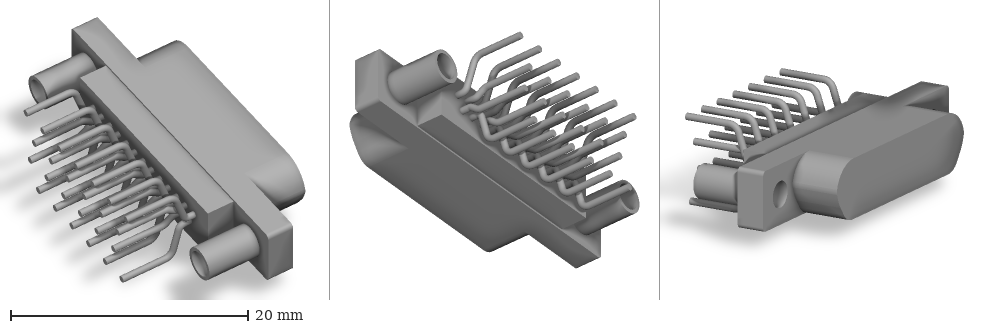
import cadquery as cq
import math


FLANGE_WIDTH = 30.0
FLANGE_HEIGHT = 5.35
FLANGE_DEPTH = 2.52
FLANGE_CORNER_RADIUS = 0.4

SHELL_DEPTH = 4.38
SHELL_TOP_HALF_WIDTH = 7.55
SHELL_BOTTOM_HALF_WIDTH = 7.77
SHELL_SIDE_X = 10.23
SHELL_SIDE_UPPER_Z = 0.57
SHELL_SIDE_LOWER_Z = 0.12
SHELL_SLANT_UPPER = (9.65, -1.17)
SHELL_SLANT_LOWER = (9.12, -1.95)

BLOCK_WIDTH = 19.45
BLOCK_HEIGHT = 4.98
BLOCK_DEPTH = 2.6

STANDOFF_SPACING = 24.5
STANDOFF_X = [-STANDOFF_SPACING / 2, STANDOFF_SPACING / 2]
STANDOFF_DIAMETER = 3.05
STANDOFF_BORE = 2.37
STANDOFF_LENGTH = 5.07
STANDOFF_GAP = 0.05

PIN_DIAMETER = 0.63
PIN_LENGTH = 6.9
PIN_COUNT = 25
TAIL_ROW_COUNT = 4
TAIL_TOTAL_HEIGHT = 8.25
TAIL_ROW_PITCH = (TAIL_TOTAL_HEIGHT - PIN_DIAMETER) / (TAIL_ROW_COUNT - 1)
PIN_PITCH = TAIL_ROW_PITCH / 4
ENTRY_Z = TAIL_ROW_PITCH / 4
INNER_TAIL_Z = TAIL_ROW_PITCH / 2
OUTER_TAIL_Z = 1.5 * TAIL_ROW_PITCH
ENTRY_BEND_RADIUS = 0.55
EXIT_BEND_RADIUS = 0.95

PIN_FORMS = [
    (1, OUTER_TAIL_Z, 0.55, 71.0),
    (-1, INNER_TAIL_Z, 0.78, 36.0),
    (1, INNER_TAIL_Z, 0.9, 33.0),
    (-1, OUTER_TAIL_Z, 0.6, 75.0),
]


def make_flange():
    return (
        cq.Workplane("XY")
        .box(FLANGE_WIDTH, FLANGE_DEPTH, FLANGE_HEIGHT, centered=(True, False, True))
        .edges("|Y")
        .fillet(FLANGE_CORNER_RADIUS)
    )


def make_shell():
    """D-shaped block: half outline of tangent arcs, mirrored about the YZ plane."""
    half_height = FLANGE_HEIGHT / 2
    return (
        cq.Workplane("XZ", origin=(0, FLANGE_DEPTH, 0))
        .moveTo(0, half_height)
        .lineTo(SHELL_TOP_HALF_WIDTH, half_height)
        .tangentArcPoint((SHELL_SIDE_X, SHELL_SIDE_UPPER_Z), relative=False)
        .tangentArcPoint((SHELL_SIDE_X, SHELL_SIDE_LOWER_Z), relative=False)
        .tangentArcPoint(SHELL_SLANT_UPPER, relative=False)
        .lineTo(*SHELL_SLANT_LOWER)
        .tangentArcPoint((SHELL_BOTTOM_HALF_WIDTH, -half_height), relative=False)
        .lineTo(0, -half_height)
        .mirrorY()
        .extrude(-SHELL_DEPTH)
    )


def make_block():
    return (
        cq.Workplane("XY", origin=(0, -BLOCK_DEPTH, 0))
        .box(BLOCK_WIDTH, BLOCK_DEPTH, BLOCK_HEIGHT, centered=(True, False, True))
    )


def bend_offset(radius, angle):
    """Travel along the pin axis and away from it, over an arc that leaves the axis."""
    turn = math.radians(angle)
    return radius * math.sin(turn), radius * (1 - math.cos(turn))


def make_pin(x, side, tail_z, straight, slant_angle):
    """Round wire: straight, bend away from the mid-plane, slant, bend back, tail."""
    entry_run, entry_rise = bend_offset(ENTRY_BEND_RADIUS, slant_angle)
    entry_mid_run, entry_mid_rise = bend_offset(ENTRY_BEND_RADIUS, slant_angle / 2)
    exit_run, exit_rise = bend_offset(EXIT_BEND_RADIUS, slant_angle)
    exit_mid_run, exit_mid_rise = bend_offset(EXIT_BEND_RADIUS, slant_angle / 2)

    rise = tail_z - ENTRY_Z
    slant_run = (rise - entry_rise - exit_rise) / math.tan(math.radians(slant_angle))
    tail_start = straight + entry_run + slant_run + exit_run

    def wire_point(run, height):
        """Point on the YZ plane from the distance to the block face and to the entry axis."""
        return (-BLOCK_DEPTH - run, side * (ENTRY_Z + height))

    path = (
        cq.Workplane("YZ", origin=(x, 0, 0))
        .moveTo(*wire_point(0, 0))
        .lineTo(*wire_point(straight, 0))
        .threePointArc(
            wire_point(straight + entry_mid_run, entry_mid_rise),
            wire_point(straight + entry_run, entry_rise),
        )
        .lineTo(*wire_point(tail_start - exit_run, rise - exit_rise))
        .threePointArc(
            wire_point(tail_start - exit_mid_run, rise - exit_mid_rise),
            wire_point(tail_start, rise),
        )
        .lineTo(*wire_point(PIN_LENGTH, rise))
    )
    return (
        cq.Workplane("XZ", origin=(x, -BLOCK_DEPTH, side * ENTRY_Z))
        .circle(PIN_DIAMETER / 2)
        .sweep(path)
    )


def make_housing():
    """Flange, shell, block and contacts as one solid, with a hole in line with each standoff."""
    housing = make_flange().union(make_shell()).union(make_block())
    for index in range(PIN_COUNT):
        x = (index - (PIN_COUNT - 1) / 2) * PIN_PITCH
        housing = housing.union(make_pin(x, *PIN_FORMS[index % len(PIN_FORMS)]))
    flange_holes = (
        cq.Workplane("XZ")
        .pushPoints([(x, 0) for x in STANDOFF_X])
        .circle(STANDOFF_BORE / 2)
        .extrude(-FLANGE_DEPTH)
    )
    return housing.cut(flange_holes)


def make_standoff(x):
    """Tube behind the flange, just clear of its rear face."""
    return (
        cq.Workplane("XZ", origin=(x, -STANDOFF_GAP, 0))
        .circle(STANDOFF_DIAMETER / 2)
        .circle(STANDOFF_BORE / 2)
        .extrude(STANDOFF_LENGTH)
    )


housing = make_housing()
standoffs = [make_standoff(x) for x in STANDOFF_X]

result = cq.Compound.makeCompound([housing.solids().val(), *[standoff.val() for standoff in standoffs]])